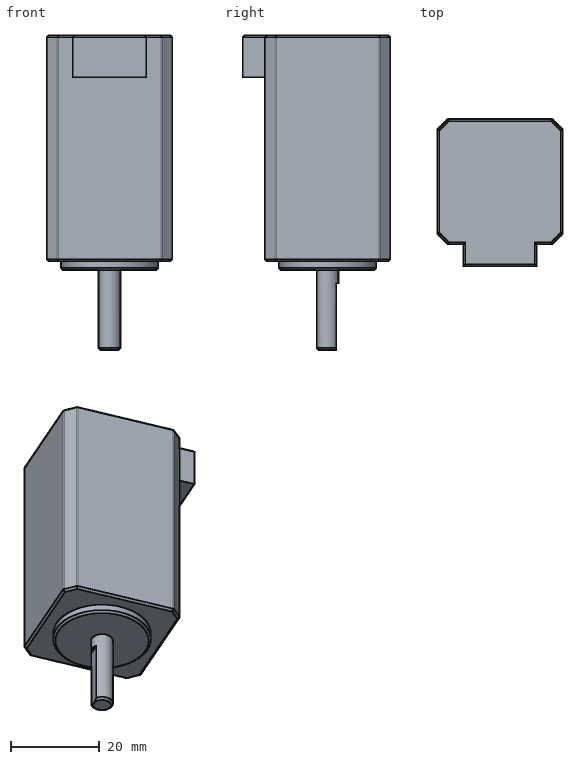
import cadquery as cq

body_width = 28.3
total_height = 71
body_height = 51.0
corner_chamfer = 2.4
corner_round = 0.5
edge_break = 0.5

connector_width = 16.6
connector_depth = 5.0
connector_height = 9.5

pilot_diameter = 22.0
pilot_height = 2.0
shaft_diameter = 5.0
shaft_length = total_height - body_height - pilot_height

flat_depth = 0.5
flat_length = 15.05


def make_housing():
    """Square body with cut, slightly rounded corners and a connector block."""
    body = (
        cq.Workplane("XY")
        .rect(body_width, body_width)
        .extrude(body_height)
        .edges("|Z")
        .chamfer(corner_chamfer)
        .edges("|Z")
        .fillet(corner_round)
        .faces("<Z")
        .chamfer(edge_break)
    )
    block_length = body_width / 2 + connector_depth
    connector = (
        cq.Workplane("XY")
        .box(connector_width, block_length, connector_height, centered=(True, False, False))
        .translate((0, -block_length, body_height - connector_height))
    )
    return body.union(connector).faces(">Z").chamfer(edge_break)


def make_pilot():
    """Centring disc under the housing."""
    return (
        cq.Workplane("XY")
        .circle(pilot_diameter / 2)
        .extrude(-pilot_height)
        .faces("<Z")
        .chamfer(edge_break)
    )


def make_shaft():
    """Chamfered shaft with a flat along its outer end."""
    shaft = (
        cq.Workplane("XY", origin=(0, 0, -pilot_height))
        .circle(shaft_diameter / 2)
        .extrude(-shaft_length)
        .faces("<Z")
        .chamfer(edge_break)
    )
    flat_cutter = (
        cq.Workplane("XY")
        .box(shaft_diameter, shaft_diameter, flat_length, centered=(True, False, False))
        .translate((0, shaft_diameter / 2 - flat_depth, -pilot_height - shaft_length))
    )
    return shaft.cut(flat_cutter)


result = make_housing().union(make_pilot()).union(make_shaft())